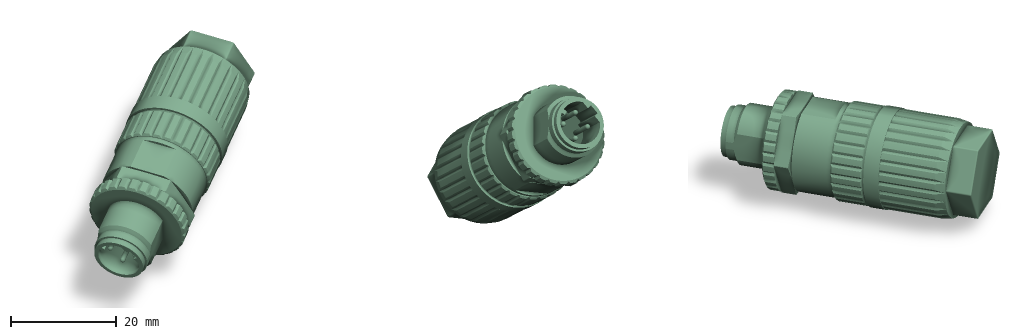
import cadquery as cq
import math

total_length = 51.35

tip_diameter = 9.85
tip_length = 1.2
collar_diameter = 10.7
collar_end = 2.75
tube_diameter = 12.0
tube_flat_width = 10.6
bore_diameter = 8.25
bore_depth = 7.7

coding_chord = 3.3
coding_slot_width = 2.0
coding_slot_reach = 4.15
coding_angle = 45
key_width = 0.8
key_reach = 3.4
key_corner_radius = 0.2
key_angle = 151.5

pin_count = 4
pin_diameter = 1.0
pin_circle_radius = 2.5
pin_recess = 1.7

nut_front = 9.7
nut_hex_front = 12.25
nut_rear = 15.3
nut_hex_flats = 17.05
nut_corner_diameter = 19.6
nut_face_diameter = 18.3
nut_bevel_length = 0.35
nut_rear_diameter = 16.95
nut_rear_bevel_length = 0.15

neck_diameter = 9.6
body_front = 15.65
body_diameter = 18.3
body_flats = 17.0
flats_end = 22.5

flute_count = 28
grip_diameter = 19.3
flute_root_diameter = 18.6
flute_width = 1.0
front_grip_start = 23.4
front_grip_end = 29.8
front_grip_bevel = 0.35
front_grip_rear_bevel = 0.25
ring_start = 30.2
ring_end = 33.2
ring_diameter = 19.6
rear_grip_end = 46.35
rear_grip_taper_length = 2.0

end_hex_flats = 15.0
end_hex_corner_radius = 0.35
end_hex_rim_radius = 0.25


def turned(*stations):
    """Solid of revolution about Y from (diameter, y) stations."""
    outline = [(0, stations[0][1])]
    outline += [(diameter / 2, y) for diameter, y in stations]
    outline.append((0, stations[-1][1]))
    return cq.Workplane("XY").polyline(outline).close().revolve(360, (0, 0, 0), (0, 1, 0))


def section_at(y):
    """Sketch plane across the axis, with local X along +X and local Y along +Z."""
    return cq.Workplane("XZ", origin=(0, y, 0))


def hexagon(flats, start, end):
    """Hexagonal bar along Y with corners on the X axis."""
    corners_diameter = flats / math.cos(math.pi / 6)
    return section_at(start).polygon(6, corners_diameter).extrude(start - end)


def fluted_bar(start, end):
    """Round bar along Y with V flutes, one of them pointing along +Z."""
    radius = grip_diameter / 2
    root_radius = flute_root_diameter / 2
    pitch = 2 * math.pi / flute_count
    half_flute = math.asin(flute_width / 2 / radius)

    def polar(r, angle):
        return (r * math.cos(angle), r * math.sin(angle))

    outline = section_at(start).moveTo(*polar(root_radius, 0))
    for i in range(flute_count):
        root = i * pitch
        land_middle = polar(radius, root + pitch / 2)
        land_end = polar(radius, root + pitch - half_flute)
        outline = outline.lineTo(*polar(radius, root + half_flute)).threePointArc(land_middle, land_end)
        if i < flute_count - 1:
            outline = outline.lineTo(*polar(root_radius, root + pitch))
    return outline.close().extrude(start - end)


def plug_tube():
    bevel_length = (tube_diameter - collar_diameter) / 2
    tube = turned(
        (tip_diameter, 0),
        (tip_diameter, tip_length),
        (collar_diameter, tip_length),
        (collar_diameter, collar_end),
        (tube_diameter, collar_end + bevel_length),
        (tube_diameter, nut_front),
    )
    flats = cq.Workplane("XY").box(
        tube_flat_width, nut_front, tube_diameter, centered=(True, False, True)
    )
    return tube.intersect(flats)


def radial_bar(inner, outer, width):
    """Rectangular bar along the bore, reaching from inner to outer along +X."""
    return section_at(0).center((inner + outer) / 2, 0).rect(outer - inner, width).extrude(-bore_depth)


def turned_to(angle, shape):
    """Shape swung about Y from +X towards +Z by an angle in degrees."""
    return shape.rotate((0, 0, 0), (0, 1, 0), -angle)


def plug_bore():
    """Space to remove: a round bore with a flat, a slot in that flat, and a standing key."""
    round_bore = section_at(0).circle(bore_diameter / 2).extrude(-bore_depth)
    beyond_chord = radial_bar(coding_chord, bore_diameter, bore_diameter)
    slot = radial_bar(0, coding_slot_reach, coding_slot_width)
    coded_bore = turned_to(coding_angle, round_bore.cut(beyond_chord).union(slot))
    key = radial_bar(key_reach, bore_diameter, key_width).edges("|Y and <X").fillet(key_corner_radius)
    return coded_bore.cut(turned_to(key_angle, key))


def contact_pin(angle):
    """Round pin standing on the bore floor, with a ball tip."""
    tip_radius = pin_diameter / 2
    tip_center = pin_recess + tip_radius
    shank = section_at(bore_depth).circle(tip_radius).extrude(bore_depth - tip_center)
    tip = cq.Workplane("XY").sphere(tip_radius).translate((0, tip_center, 0))
    return turned_to(angle, shank.union(tip).translate((pin_circle_radius, 0, 0)))


def coupling_nut():
    knurl = fluted_bar(nut_front, nut_hex_front).intersect(turned(
        (nut_face_diameter, nut_front),
        (grip_diameter, nut_front + nut_bevel_length),
        (grip_diameter, nut_hex_front),
    ))
    head = hexagon(nut_hex_flats, nut_hex_front, nut_rear).intersect(turned(
        (nut_corner_diameter, nut_hex_front),
        (nut_corner_diameter, nut_rear - nut_rear_bevel_length),
        (nut_rear_diameter, nut_rear),
    ))
    return knurl.union(head)


def smooth_body():
    body = turned((body_diameter, body_front), (body_diameter, front_grip_start))
    flat_length = flats_end - body_front
    between_flats = section_at(body_front).rect(body_diameter, body_flats).extrude(-flat_length)
    full_round = turned((body_diameter, flats_end), (body_diameter, front_grip_start))
    neck = turned((neck_diameter, nut_rear), (neck_diameter, body_front))
    return body.intersect(between_flats).union(full_round).union(neck)


def front_grip():
    envelope = turned(
        (flute_root_diameter, front_grip_start),
        (grip_diameter, front_grip_start + front_grip_bevel),
        (grip_diameter, front_grip_end - front_grip_rear_bevel),
        (flute_root_diameter, front_grip_end),
    )
    return fluted_bar(front_grip_start, front_grip_end).intersect(envelope)


def ring():
    return turned(
        (flute_root_diameter, front_grip_end),
        (flute_root_diameter, ring_start),
        (ring_diameter, ring_start),
        (ring_diameter, ring_end),
    )


def rear_grip():
    envelope = turned(
        (grip_diameter, ring_end),
        (grip_diameter, rear_grip_end - rear_grip_taper_length),
        (flute_root_diameter, rear_grip_end),
    )
    return fluted_bar(ring_end, rear_grip_end).intersect(envelope)


def end_hexagon():
    bar = hexagon(end_hex_flats, rear_grip_end, total_length)
    rounded_bar = bar.edges("|Y").fillet(end_hex_corner_radius)
    return rounded_bar.faces(">Y").edges().fillet(end_hex_rim_radius)


result = plug_tube()
for section in (coupling_nut(), smooth_body(), front_grip(), ring(), rear_grip(), end_hexagon()):
    result = result.union(section)
result = result.cut(plug_bore())
for i in range(pin_count):
    result = result.union(contact_pin(360 * i / pin_count))